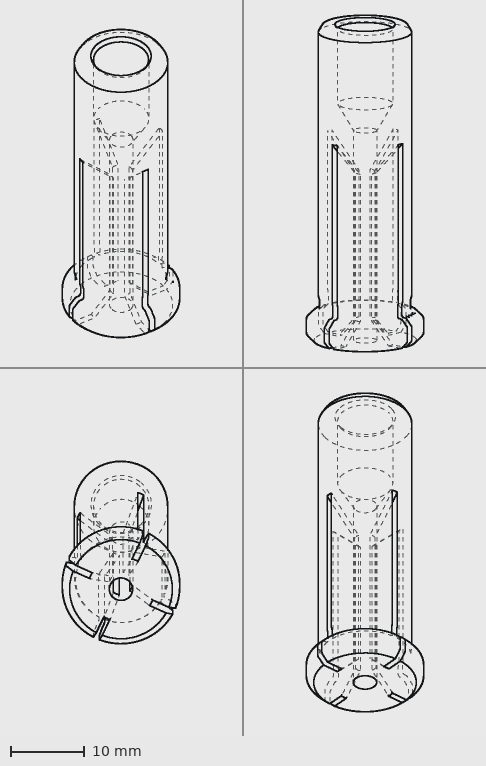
import cadquery as cq
import math

length = 44.0
body_radius = 12.7 / 2
flange_radius = 15.95 / 2

flange_height = 4.05
flange_chamfer = 1.0
neck_radius = 6.2
neck_top = 5.7
neck_taper_top = 6.25

steep_chamfer_angle = math.radians(30)
top_chamfer_height = 1.05
top_chamfer_width = top_chamfer_height * math.tan(steep_chamfer_angle)
edge_round = 0.4

hole_radius = 3.15 / 2
bore_radius = 7.5 / 2
bore_depth = 11.0
bore_mouth_height = 0.6
bore_mouth_width = bore_mouth_height * math.tan(steep_chamfer_angle)
bore_cone_angle = 60.0

slot_width = 0.9
slot_count = 4
slot_top = 28.3
slot_foot_radius = 4.55


def ring_edges(solid, radius, height):
    """Circular edges of the given radius and height."""
    tolerance = 0.005
    rings = [
        edge for edge in solid.edges("%CIRCLE").vals()
        if abs(edge.radius() - radius) < tolerance
        and abs(edge.Center().z - height) < tolerance
    ]
    return solid.newObject(rings)


def make_body():
    """Turned outside shape with its corners rounded."""
    flange_top_radius = flange_radius - flange_chamfer
    top_radius = body_radius - top_chamfer_width
    outline = [
        (0, 0),
        (flange_radius - flange_chamfer, 0),
        (flange_radius, flange_chamfer),
        (flange_radius, flange_height - flange_chamfer),
        (flange_top_radius, flange_height),
        (neck_radius, flange_height),
        (neck_radius, neck_top),
        (body_radius, neck_taper_top),
        (body_radius, length - top_chamfer_height),
        (top_radius, length),
        (0, length),
    ]
    body = cq.Workplane("XZ").polyline(outline).close().revolve(360, (0, 0), (0, 1))
    rounded_rings = [
        (flange_radius, flange_chamfer),
        (flange_radius, flange_height - flange_chamfer),
        (flange_top_radius, flange_height),
        (neck_radius, flange_height),
        (top_radius, length),
    ]
    for radius, height in rounded_rings:
        body = ring_edges(body, radius, height).fillet(edge_round)
    return body


def make_bore():
    """Through hole, conical bore end, wide bore and its chamfered mouth."""
    bore_floor = length - bore_depth
    cone_height = (bore_radius - hole_radius) / math.tan(math.radians(bore_cone_angle / 2))
    outline = [
        (0, 0),
        (hole_radius, 0),
        (hole_radius, bore_floor - cone_height),
        (bore_radius, bore_floor),
        (bore_radius, length - bore_mouth_height),
        (bore_radius + bore_mouth_width, length),
        (0, length),
    ]
    return cq.Workplane("XZ").polyline(outline).close().revolve(360, (0, 0), (0, 1))


def make_slot():
    """One radial slot along +X, running from the axis out past the flange."""
    reach = 2 * flange_radius
    outline = [
        (0, slot_foot_radius),
        (0, slot_top - body_radius),
        (reach, slot_top - body_radius + reach),
        (reach, slot_foot_radius - reach),
    ]
    return cq.Workplane("XZ").polyline(outline).close().extrude(slot_width / 2, both=True)


result = make_body().cut(make_bore())
for index in range(slot_count):
    slot = make_slot().rotate((0, 0, 0), (0, 0, 1), index * 360 / slot_count)
    result = result.cut(slot)